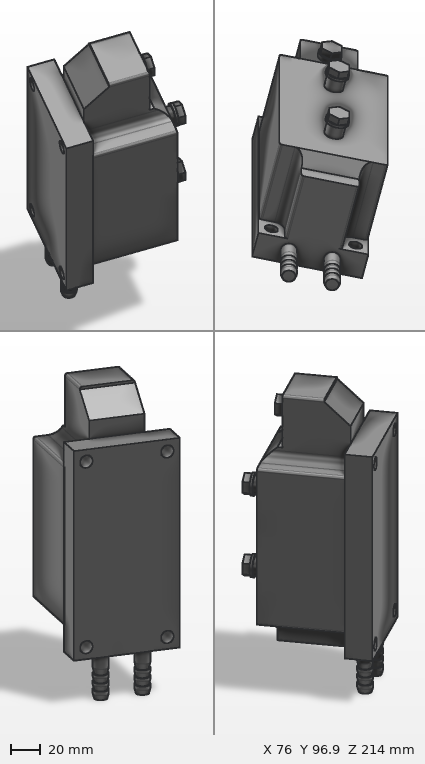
import cadquery as cq
import math

plate_width = 76.0
plate_height = 150.0
plate_depth = 19.3
plate_top = plate_height / 2
plate_bottom = -plate_top

hole_diameter = 9.0
hole_spacing_x = 58.2
hole_spacing_z = 132.7

body_width = 75.0
body_back = 80.0
shoulder_top = plate_top - 16.7
shoulder_bottom = plate_bottom + 18.0
edge_radius = 2.0
neck_width = 39.8
neck_blend_radius = 7.0
neck_bevel_depth = 10.3
ledge_top = plate_top - 7.3
lower_bevel_height = 8.1

head_top = plate_top + 31.0
head_back = 66.3
head_bevel_depth = 18.2
head_bevel_top = head_top - edge_radius
head_bevel_height = 16.0

bolt_pitch = 60.0
bolt_shaft_diameter = 13.0
bolt_shaft_length = 9.8
bolt_flange_diameter = 16.0
bolt_flange_thickness = 2.0
head_bolt_z = 1.5 * bolt_pitch
head_bolt_flange_thickness = 3.2
bolt_hex_height = 5.1
bolt_hex_flats = 13.7

hose_spacing = 30.0
hose_y = 10.3
hose_radius = 5.5
barb_root_radius = 4.5
hose_length = 33.0
hose_plain_length = 10.3
barb_count = 3
barb_pitch = 5.8
barb_taper = 3.9
tip_taper = 3.9
tip_barb_length = 2.5
barb_end = hose_length - tip_taper
first_barb = barb_end - tip_barb_length - (barb_count - 1) * barb_pitch


def block(width, y_front, y_back, z_bottom, z_top):
    """Box centred on X between the given Y and Z limits."""
    return (
        cq.Workplane("XY", origin=(0, y_front, z_bottom))
        .box(width, y_back - y_front, z_top - z_bottom, centered=(True, False, False))
    )


def side_prism(points):
    """Prism across the full width from a (Y, Z) outline."""
    return cq.Workplane("YZ").polyline(points).close().extrude(body_width, both=True)


def make_plate():
    plate = block(plate_width, 0, plate_depth, plate_bottom, plate_top)
    holes = (
        cq.Workplane("XZ")
        .rect(hole_spacing_x, hole_spacing_z, forConstruction=True)
        .vertices()
        .circle(hole_diameter / 2)
        .extrude(-plate_depth)
    )
    return plate.cut(holes)


def make_body():
    """Shoulders, necks and concave blends, bevelled at the back above and below."""
    shoulders = block(body_width, plate_depth, body_back, shoulder_bottom, shoulder_top)
    neck = block(neck_width, plate_depth, body_back, plate_bottom, ledge_top)
    body = shoulders.edges("|Y").fillet(edge_radius)
    body = body.union(neck.edges("|Y and <Z").fillet(edge_radius))

    blend_reach = neck_width / 2 + neck_blend_radius
    for shoulder, direction in ((shoulder_top, 1), (shoulder_bottom, -1)):
        blend_end = shoulder + direction * neck_blend_radius
        fill = block(
            2 * blend_reach, plate_depth, body_back, min(shoulder, blend_end), max(shoulder, blend_end)
        )
        scoops = (
            cq.Workplane("XZ", origin=(0, plate_depth, 0))
            .pushPoints([(-blend_reach, blend_end), (blend_reach, blend_end)])
            .circle(neck_blend_radius)
            .extrude(plate_depth - body_back)
        )
        body = body.union(fill.cut(scoops))

    bevel_front = body_back - neck_bevel_depth
    upper_bevel = side_prism([(body_back, shoulder_top), (bevel_front, ledge_top), (body_back, ledge_top)])
    lower_bevel = side_prism([
        (body_back, shoulder_bottom),
        (bevel_front, shoulder_bottom - lower_bevel_height),
        (bevel_front, plate_bottom),
        (body_back, plate_bottom),
    ])
    return body.cut(upper_bevel).cut(lower_bevel)


def make_head():
    head = block(neck_width, plate_depth, head_back, shoulder_top, head_top)
    head = head.edges("|Y and >Z").fillet(edge_radius)
    bevel_end = plate_depth + head_bevel_depth
    front_bevel = side_prism([
        (plate_depth, head_bevel_top - head_bevel_height),
        (bevel_end, head_bevel_top),
        (bevel_end, head_top),
        (plate_depth, head_top),
    ])
    return head.cut(front_bevel)


def make_bolt(base_y, z, shaft_length, flange_thickness):
    """Shaft, round flange and hexagon stacked along +Y, with hexagon corners at top and bottom."""
    flange_y = base_y + shaft_length
    hex_y = flange_y + flange_thickness
    hex_corners = bolt_hex_flats / math.cos(math.pi / 6)
    hexagon = (
        cq.Workplane("XZ", origin=(0, hex_y, z))
        .transformed(rotate=(0, 0, 90))
        .polygon(6, hex_corners)
        .extrude(-bolt_hex_height)
    )
    flange = (
        cq.Workplane("XZ", origin=(0, flange_y, z))
        .circle(bolt_flange_diameter / 2)
        .extrude(-flange_thickness)
    )
    bolt = flange.union(hexagon)
    if shaft_length > 0:
        shaft = (
            cq.Workplane("XZ", origin=(0, base_y, z))
            .circle(bolt_shaft_diameter / 2)
            .extrude(-shaft_length)
        )
        bolt = bolt.union(shaft)
    return bolt


def make_hose_connector(x):
    """Revolved connector: plain neck, then tapers that each step back out to a barb."""
    outline = [(0, 0), (hose_radius, 0), (hose_radius, -hose_plain_length)]
    for barb in range(barb_count):
        barb_start = first_barb + barb * barb_pitch
        outline.append((barb_root_radius, -barb_start))
        outline.append((hose_radius, -barb_start))
        if barb < barb_count - 1:
            outline.append((hose_radius, -(barb_start + barb_pitch - barb_taper)))
    outline.append((hose_radius, -barb_end))
    outline.append((barb_root_radius, -hose_length))
    outline.append((0, -hose_length))
    return (
        cq.Workplane("XZ", origin=(x, hose_y, plate_bottom))
        .polyline(outline)
        .close()
        .revolve(360, (0, 0, 0), (0, 1, 0))
    )


result = make_plate().union(make_body()).union(make_head())
for bolt_z in (-bolt_pitch / 2, bolt_pitch / 2):
    result = result.union(make_bolt(body_back, bolt_z, bolt_shaft_length, bolt_flange_thickness))
result = result.union(make_bolt(head_back, head_bolt_z, 0, head_bolt_flange_thickness))
for hose_x in (-hose_spacing / 2, hose_spacing / 2):
    result = result.union(make_hose_connector(hose_x))